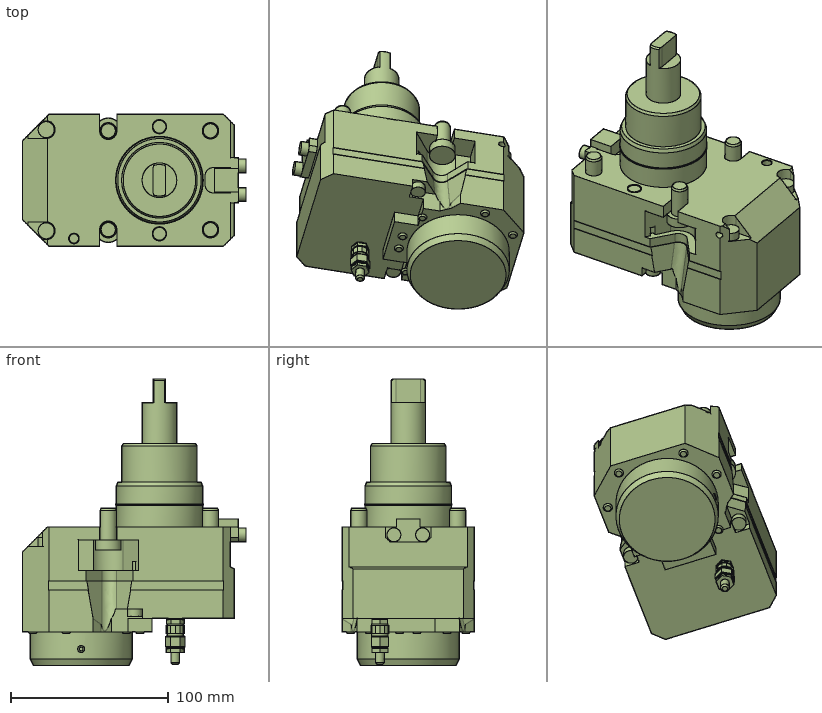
import cadquery as cq
import math


X_LEFT = -87.0
X_RIGHT = 47.5
X_RIGHT_UPPER = 45.0
WIDTH = 84.0
HALF_WIDTH = WIDTH / 2
Z_BOTTOM = -58.0
Z_HEAD_BOTTOM = -66.6
LEFT_CORNER = 17.0
RIGHT_CORNER = 7.0
TOP_SLOPE = 15.9
RELIEF_Z = -25.3
RELIEF_DEPTH = X_RIGHT - X_RIGHT_UPPER
BAND_TOP = -34.2
BAND_BOTTOM = -40.0
BAND_DEPTH = 0.3

STEP_Y = 32.4
STEP_X_CORNER = -42.1
STEP_X_BEND = -37.1
STEP_Y_BEND = 36.3
STEP_X_FLAT = -30.6
STEP_X_END = -20.0
LIP_X_END = -4.6
LIP_HALF_WIDTH = 17.0

SHAFT_D = 22.0
SHAFT_TOP = 79.0
TANG_TOP = 94.0
TANG_THICKNESS = 8.0
TANG_TOP_CHAMFER = 1.0
TANG_FLAT_HALF = 7.8
TANG_EDGE_CUT = 0.8
PILOT_D = 48.0
PILOT_TOP = 53.0
COLLAR_D = 55.0
COLLAR_TOP = 28.4
COLLAR_CHAMFER_HEIGHT = 2.4
PILOT_CHAMFER_HEIGHT = 1.7
RIM_CHAMFER = 1.0
SEAL_Z = 14.2
SEAL_HEIGHT = 1.0
SEAL_PROUD = 0.35

NOSE_X = -49.7
NOSE_D = 65.0
NOSE_BOTTOM = -88.0
NOSE_CHAMFER_HEIGHT = 4.2
NOSE_CHAMFER = 2.1
NOSE_PIN_Z = -77.5
NOSE_PIN_BORE_D = 4.4
NOSE_PIN_D = 2.4
NOSE_PIN_BORE_DEPTH = 1.5

CLAMP_X_LEFT = -32.5
CLAMP_X_RIGHT = 32.4
CLAMP_Y = 31.4
CLAMP_D = 10.4
CLAMP_TOP = 12.0
CLAMP_CHAMFER_HEIGHT = 1.4
CLAMP_CHAMFER = 0.7
CLAMP_SLOT_WIDTH = 11.0
CLAMP_HEAD_D = 16.3
CLAMP_HEAD_HEIGHT = 6.4

POCKET_TOP = -8.2
POCKET_FLOOR = -27.8
POCKET_X_LEFT = -51.5
POCKET_X_RIGHT = -13.2
POCKET_BACK_Y = 27.6
POCKET_ROUND_R = 11.3
POCKET_ROUND_Y = 34.1
FLUTE_X = -31.8
FLUTE_HALF_WIDTH = 14.9
FLUTE_APEX_Y = 22.6
FLUTE_FLANK = math.atan2(HALF_WIDTH - FLUTE_APEX_Y, FLUTE_HALF_WIDTH)
FLUTE_ROUND_R = 5.8
FLUTE_DRAFT = 7.9
FLUTE_STEP = 0.5
NICHE_X = -15.7
NICHE_Y = 37.2
NICHE_R = 1.8
NICHE_TOP = -21.8

NOTCH_TOP = -52.0
NOTCH_X_RIGHT = -10.9
NOTCH_HEAD_X = -15.6
NOTCH_HEAD_Y = 36.3
NOTCH_HEAD_D = 9.2
NOTCH_HEAD_HEIGHT = 4.8

CORNER_SCREW_X = -71.9
CORNER_SCREW_Y = 32.1
CORNER_BORE_D = 11.2
CORNER_FLOOR = -12.3
CORNER_HEAD_D = 10.2
CORNER_HEAD_TOP = -6.7

PLUG_Y = 34.0
PLUG_D = 9.0
PLUG_GROOVE = 0.4
TOP_HOLE_X = -54.3
TOP_HOLE_Y = -37.0
TOP_HOLE_D = 5.9
TOP_HOLE_CHAMFER = 0.4
TOP_HOLE_DEPTH = 8.0
SIDE_HOLE_X = -69.0
SIDE_HOLE_Z = -7.0
SIDE_HOLE_D = 4.2
SIDE_HOLE_DEPTH = 5.0

KEY_X_LEFT = 34.8
KEY_X_RIGHT = 50.1
KEY_WIDTH = 15.0
KEY_TOP = 5.1
KEY_SLOT_X = 29.0
KEY_SLOT_WIDTH = 16.0
KEY_SLOT_DEPTH = 4.0
KEY_SLOT_CORNER_R = 5.0
FLANGE_WIDTH = 28.6
FLANGE_BOTTOM = -9.4
FLANGE_CHAMFER = 2.8
KEY_SCREW_Y = 9.1
KEY_SCREW_Z = -5.0
KEY_SCREW_D = 8.8
KEY_SCREW_HEIGHT = 4.9

FITTING_X = 10.05
FITTING_Y = -18.0
FITTING_NECK_R = 4.5
FITTING_TIP_R = 2.8
FITTING_TIP_END_R = 1.7
FITTING_TIP_CHAMFER_Z = -86.2
FITTING_BOTTOM = -87.3
LOCK_NUT_TOP = -58.8
LOCK_NUT_BOTTOM = -61.7
LOCK_NUT_R = 5.7
SLEEVE_R = 5.2
KNURL_TOP = -62.6
KNURL_BOTTOM = -67.7
KNURL_R = 5.8
KNURL_SIDES = 12
UNION_NUT_TOP = -69.3
UNION_NUT_BOTTOM = -76.4
UNION_NUT_R = 6.3
UNION_NUT_CHAMFER = 0.5
END_NUT_TOP = -77.2
END_NUT_BOTTOM = -79.8
END_NUT_R = 5.8

COVER_SCREWS = [(-30.8, 21.7), (-9.5, 36.6), (28.7, 24.6), (37.3, 5.5)]
COVER_SCREW_D = 5.8
COVER_SCREW_TIP_D = 4.0
COVER_SCREW_HEIGHT = 1.2


def cylinder(x, y, z_low, z_high, diameter):
    return cq.Workplane("XY", origin=(x, y, z_low)).circle(diameter / 2).extrude(z_high - z_low)


def block(x_low, x_high, y_low, y_high, z_low, z_high):
    size = (x_high - x_low, y_high - y_low, z_high - z_low)
    return cq.Workplane("XY", origin=(x_low, y_low, z_low)).box(*size, centered=False)


def prism(points, z_low, z_high):
    return cq.Workplane("XY", origin=(0, 0, z_low)).polyline(points).close().extrude(z_high - z_low)


def turned(x, y, profile):
    """Solid of revolution about a vertical axis from (radius, z) points."""
    section = cq.Workplane("XZ").polyline(profile).close()
    return section.revolve(360, (0, 0, 0), (0, 1, 0)).translate((x, y, 0))


def both_sides(shape):
    return shape.union(shape.mirror("XZ"))


def housing():
    side = [
        (X_LEFT, Z_HEAD_BOTTOM),
        (LIP_X_END, Z_HEAD_BOTTOM),
        (LIP_X_END, Z_BOTTOM),
        (X_RIGHT, Z_BOTTOM),
        (X_RIGHT, RELIEF_Z - RELIEF_DEPTH / 2),
        (X_RIGHT_UPPER, RELIEF_Z),
        (X_RIGHT_UPPER, 0),
        (X_LEFT + TOP_SLOPE, 0),
        (X_LEFT, -TOP_SLOPE),
    ]
    side_body = cq.Workplane("XZ").polyline(side).close().extrude(HALF_WIDTH, both=True)
    plan = [
        (X_LEFT, HALF_WIDTH - LEFT_CORNER),
        (X_LEFT + LEFT_CORNER, HALF_WIDTH),
        (X_RIGHT - RIGHT_CORNER, HALF_WIDTH),
        (X_RIGHT, HALF_WIDTH - RIGHT_CORNER),
    ]
    plan += [(x, -y) for x, y in reversed(plan)]
    return side_body.intersect(prism(plan, Z_HEAD_BOTTOM, 0))


def side_band():
    band = block(X_LEFT, X_RIGHT, -HALF_WIDTH, BAND_DEPTH - HALF_WIDTH, BAND_BOTTOM, BAND_TOP)
    return both_sides(band)


def underside_step():
    """Material cleared beside the spindle half, below the flute and drive half."""
    below_drive = [
        (STEP_X_CORNER, -HALF_WIDTH),
        (STEP_X_BEND, -STEP_Y_BEND),
        (STEP_X_FLAT, -STEP_Y),
        (STEP_X_END, -STEP_Y),
        (STEP_X_END, -LIP_HALF_WIDTH),
        (LIP_X_END, -LIP_HALF_WIDTH),
        (LIP_X_END, -HALF_WIDTH),
    ]
    cut = prism(below_drive, Z_HEAD_BOTTOM, Z_BOTTOM)
    upper = below_drive[:3] + [(NOTCH_X_RIGHT, -STEP_Y), (NOTCH_X_RIGHT, -HALF_WIDTH)]
    cut = cut.union(prism(upper, Z_BOTTOM, NOTCH_TOP))
    return both_sides(cut)


def flute_section(plane, apex_y):
    """Rounded V open to the side face; apex_y is where the two flanks would meet."""
    half_width = (HALF_WIDTH - apex_y) / math.tan(FLUTE_FLANK)
    tangent_x = FLUTE_ROUND_R * math.sin(FLUTE_FLANK)
    centre_y = apex_y + FLUTE_ROUND_R / math.cos(FLUTE_FLANK)
    tangent_y = centre_y - FLUTE_ROUND_R * math.cos(FLUTE_FLANK)
    return (
        plane.moveTo(FLUTE_X - half_width, -HALF_WIDTH)
        .lineTo(FLUTE_X - tangent_x, -tangent_y)
        .threePointArc((FLUTE_X, FLUTE_ROUND_R - centre_y), (FLUTE_X + tangent_x, -tangent_y))
        .lineTo(FLUTE_X + half_width, -HALF_WIDTH)
        .close()
    )


def flute():
    """Rounded V-shaped flute: a straight upper band above a part that gets shallower downwards."""
    start = cq.Workplane("XY", origin=(0, 0, BAND_TOP))
    upper = flute_section(start, FLUTE_APEX_Y).extrude(POCKET_FLOOR - BAND_TOP)

    height = BAND_TOP - Z_HEAD_BOTTOM
    inset = height * math.tan(math.radians(FLUTE_DRAFT))
    top_apex_y = FLUTE_APEX_Y + FLUTE_STEP
    bottom_apex_y = top_apex_y + inset / math.cos(FLUTE_FLANK)
    lower = flute_section(cq.Workplane("XY", origin=(0, 0, BAND_TOP)), top_apex_y)
    lower = flute_section(lower.workplane(offset=-height), bottom_apex_y).loft(ruled=True)
    return both_sides(upper.union(lower))


def side_pocket():
    half_bore = math.sqrt(POCKET_ROUND_R ** 2 - (POCKET_ROUND_Y - POCKET_BACK_Y) ** 2)
    bore_x_right = CLAMP_X_LEFT + half_bore
    outline = [
        (POCKET_X_LEFT, -HALF_WIDTH),
        (POCKET_X_LEFT, -POCKET_BACK_Y),
        (bore_x_right, -POCKET_BACK_Y),
        (POCKET_X_RIGHT, -HALF_WIDTH),
    ]
    cut = prism(outline, POCKET_FLOOR, POCKET_TOP)
    bore = cylinder(CLAMP_X_LEFT, -POCKET_ROUND_Y, POCKET_FLOOR, POCKET_TOP, 2 * POCKET_ROUND_R)
    bore_back = block(POCKET_X_LEFT, bore_x_right, -POCKET_ROUND_Y, 0, POCKET_FLOOR, POCKET_TOP)
    cut = cut.union(bore.intersect(bore_back))
    cut = cut.union(cylinder(NICHE_X, -NICHE_Y, POCKET_FLOOR, NICHE_TOP, 2 * NICHE_R))
    half_slot = CLAMP_SLOT_WIDTH / 2
    slot = block(CLAMP_X_LEFT - half_slot, CLAMP_X_LEFT + half_slot, -HALF_WIDTH, -CLAMP_Y, POCKET_TOP, 0)
    slot = slot.union(cylinder(CLAMP_X_LEFT, -CLAMP_Y, POCKET_TOP, 0, CLAMP_SLOT_WIDTH))
    return both_sides(cut.union(slot))


def corner_screw_seat():
    y_outer = -CORNER_SCREW_Y - CORNER_BORE_D / 2
    y_inner = -CORNER_SCREW_Y + CORNER_BORE_D / 2
    seat = cylinder(CORNER_SCREW_X, -CORNER_SCREW_Y, CORNER_FLOOR, 0, CORNER_BORE_D)
    run_out = block(X_LEFT, CORNER_SCREW_X, y_outer, y_inner, CORNER_FLOOR, 0)
    return both_sides(seat.union(run_out))


def plug_groove():
    groove = cylinder(0, -PLUG_Y, -PLUG_GROOVE, 0, PLUG_D)
    groove = groove.cut(cylinder(0, -PLUG_Y, -PLUG_GROOVE, 0, PLUG_D - 2 * PLUG_GROOVE))
    return both_sides(groove)


def top_hole():
    radius = TOP_HOLE_D / 2
    profile = [
        (0, 0),
        (radius + TOP_HOLE_CHAMFER, 0),
        (radius, -TOP_HOLE_CHAMFER),
        (radius, -TOP_HOLE_DEPTH),
        (0, -TOP_HOLE_DEPTH),
    ]
    return turned(TOP_HOLE_X, TOP_HOLE_Y, profile)


def side_hole():
    plane = cq.Workplane("XZ", origin=(SIDE_HOLE_X, HALF_WIDTH, SIDE_HOLE_Z))
    return plane.circle(SIDE_HOLE_D / 2).extrude(SIDE_HOLE_DEPTH)


def key_slot():
    half = KEY_SLOT_WIDTH / 2
    slot = block(KEY_SLOT_X, X_RIGHT, -half, half, -KEY_SLOT_DEPTH, 0)
    return slot.edges("|Z and <X").fillet(KEY_SLOT_CORNER_R)


def drive_side():
    """Collar, pilot, shaft and tang stacked on the top face."""
    collar_r = COLLAR_D / 2
    pilot_r = PILOT_D / 2
    seal_r = collar_r + SEAL_PROUD
    profile = [
        (0, 0),
        (collar_r, 0),
        (collar_r, SEAL_Z - SEAL_HEIGHT / 2),
        (seal_r, SEAL_Z - SEAL_HEIGHT / 4),
        (seal_r, SEAL_Z + SEAL_HEIGHT / 4),
        (collar_r, SEAL_Z + SEAL_HEIGHT / 2),
        (collar_r, COLLAR_TOP - COLLAR_CHAMFER_HEIGHT),
        (collar_r - RIM_CHAMFER, COLLAR_TOP),
        (pilot_r, COLLAR_TOP),
        (pilot_r, PILOT_TOP - PILOT_CHAMFER_HEIGHT),
        (pilot_r - RIM_CHAMFER, PILOT_TOP),
        (SHAFT_D / 2, PILOT_TOP),
        (SHAFT_D / 2, SHAFT_TOP),
        (0, SHAFT_TOP),
    ]
    return turned(0, 0, profile).union(tang())


def tang():
    half = TANG_THICKNESS / 2
    radius = SHAFT_D / 2
    half_end = half - TANG_EDGE_CUT
    plan = [
        (half, -TANG_FLAT_HALF),
        (half, TANG_FLAT_HALF),
        (half_end, radius),
        (-half_end, radius),
        (-half, TANG_FLAT_HALF),
        (-half, -TANG_FLAT_HALF),
        (-half_end, -radius),
        (half_end, -radius),
    ]
    blade = prism(plan, SHAFT_TOP, TANG_TOP)
    envelope = cylinder(0, 0, SHAFT_TOP, TANG_TOP, SHAFT_D).faces(">Z").chamfer(TANG_TOP_CHAMFER)
    return blade.intersect(envelope)


def spindle_nose():
    radius = NOSE_D / 2
    profile = [
        (0, Z_HEAD_BOTTOM),
        (radius, Z_HEAD_BOTTOM),
        (radius, NOSE_BOTTOM + NOSE_CHAMFER_HEIGHT),
        (radius - NOSE_CHAMFER, NOSE_BOTTOM),
        (0, NOSE_BOTTOM),
    ]
    nose = turned(NOSE_X, 0, profile)
    plane = cq.Workplane("XZ", origin=(NOSE_X, -radius, NOSE_PIN_Z))
    ring = plane.circle(NOSE_PIN_BORE_D / 2).circle(NOSE_PIN_D / 2).extrude(-NOSE_PIN_BORE_DEPTH)
    return nose.cut(ring)


def clamp_shank(x, z_low):
    radius = CLAMP_D / 2
    profile = [
        (0, z_low),
        (radius, z_low),
        (radius, CLAMP_TOP - CLAMP_CHAMFER_HEIGHT),
        (radius - CLAMP_CHAMFER, CLAMP_TOP),
        (0, CLAMP_TOP),
    ]
    return turned(x, -CLAMP_Y, profile)


def clamp_screws():
    right = clamp_shank(CLAMP_X_RIGHT, 0)
    left = clamp_shank(CLAMP_X_LEFT, POCKET_TOP)
    head_bottom = POCKET_TOP - CLAMP_HEAD_HEIGHT
    head = cylinder(CLAMP_X_LEFT, -CLAMP_Y, head_bottom, POCKET_TOP, CLAMP_HEAD_D)
    return both_sides(right.union(left).union(head))


def seated_screw_heads():
    corner = cylinder(CORNER_SCREW_X, -CORNER_SCREW_Y, CORNER_FLOOR, CORNER_HEAD_TOP, CORNER_HEAD_D)
    hanging = cylinder(NOTCH_HEAD_X, -NOTCH_HEAD_Y, NOTCH_TOP - NOTCH_HEAD_HEIGHT, NOTCH_TOP, NOTCH_HEAD_D)
    return both_sides(corner.union(hanging))


def cover_screws():
    profile = [
        (0, Z_HEAD_BOTTOM),
        (COVER_SCREW_D / 2, Z_HEAD_BOTTOM),
        (COVER_SCREW_TIP_D / 2, Z_HEAD_BOTTOM - COVER_SCREW_HEIGHT),
        (0, Z_HEAD_BOTTOM - COVER_SCREW_HEIGHT),
    ]
    heads = cq.Workplane("XY")
    for dx, dy in COVER_SCREWS:
        heads = heads.union(turned(NOSE_X + dx, -dy, profile))
    return both_sides(heads)


def key():
    """Tongue with a cross flange and two cap screws."""
    half = KEY_WIDTH / 2
    tongue = block(KEY_X_LEFT, KEY_X_RIGHT, -half, half, -KEY_SLOT_DEPTH, KEY_TOP)
    half = FLANGE_WIDTH / 2
    flange = block(X_RIGHT_UPPER, KEY_X_RIGHT, -half, half, FLANGE_BOTTOM, 0)
    flange = flange.edges("|X and <Z").chamfer(FLANGE_CHAMFER)
    plane = cq.Workplane("YZ", origin=(KEY_X_RIGHT, 0, KEY_SCREW_Z))
    screws = plane.pushPoints([(-KEY_SCREW_Y, 0), (KEY_SCREW_Y, 0)]).circle(KEY_SCREW_D / 2)
    return tongue.union(flange).union(screws.extrude(KEY_SCREW_HEIGHT))


def nut(z_low, z_high, corner_r, sides=6):
    plane = cq.Workplane("XY", origin=(FITTING_X, FITTING_Y, z_low))
    return plane.polygon(sides, 2 * corner_r).extrude(z_high - z_low)


def fitting():
    """Stepped core with nuts, a knurled ring and a sleeve around it."""
    core = [
        (0, Z_BOTTOM),
        (FITTING_NECK_R, Z_BOTTOM),
        (FITTING_NECK_R, END_NUT_BOTTOM),
        (FITTING_TIP_R, END_NUT_BOTTOM),
        (FITTING_TIP_R, FITTING_TIP_CHAMFER_Z),
        (FITTING_TIP_END_R, FITTING_BOTTOM),
        (0, FITTING_BOTTOM),
    ]
    body = turned(FITTING_X, FITTING_Y, core)
    body = body.union(nut(LOCK_NUT_BOTTOM, LOCK_NUT_TOP, LOCK_NUT_R))
    body = body.union(cylinder(FITTING_X, FITTING_Y, UNION_NUT_TOP, LOCK_NUT_BOTTOM, 2 * SLEEVE_R))
    body = body.union(nut(KNURL_BOTTOM, KNURL_TOP, KNURL_R, KNURL_SIDES))
    union_nut = nut(UNION_NUT_BOTTOM, UNION_NUT_TOP, UNION_NUT_R)
    body = body.union(union_nut.faces("|Z").chamfer(UNION_NUT_CHAMFER))
    return body.union(nut(END_NUT_BOTTOM, END_NUT_TOP, END_NUT_R))


cutters = [
    side_band(),
    underside_step(),
    flute(),
    side_pocket(),
    corner_screw_seat(),
    plug_groove(),
    top_hole(),
    side_hole(),
    key_slot(),
]
additions = [
    drive_side(),
    spindle_nose(),
    clamp_screws(),
    seated_screw_heads(),
    cover_screws(),
    key(),
    fitting(),
]

result = housing()
for cutter in cutters:
    result = result.cut(cutter)
for addition in additions:
    result = result.union(addition)